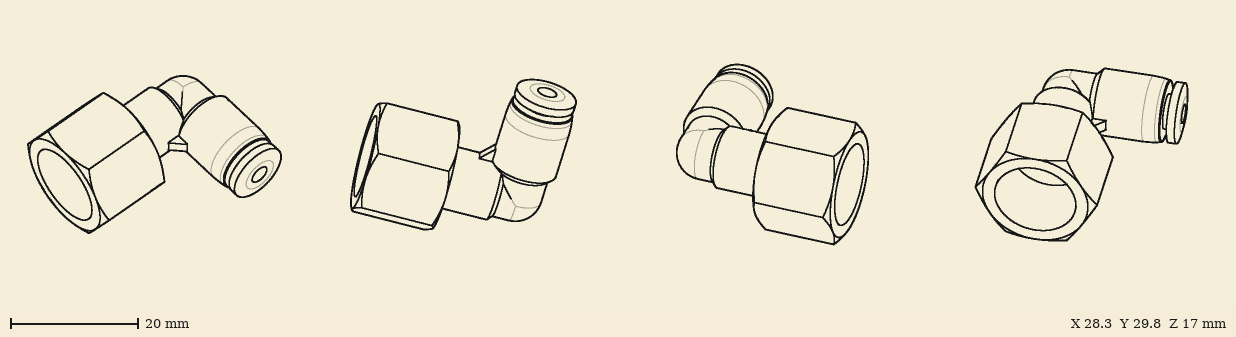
import cadquery as cq
import math


socket_length = 13.0
across_flats = 17.0
flat_radius = across_flats / 2
corner_radius = flat_radius / math.cos(math.radians(30))
corner_chamfer = (corner_radius - flat_radius) * math.tan(math.radians(30))

socket_mouth_radius = 6.55
socket_floor_radius = 6.22
socket_depth = 10.4
passage_radius = 1.52

overall_length = 29.75
collar_radius = 5.27
tube_axis_y = overall_length - collar_radius
elbow_radius = 4.25
stem_radius = 5.0
stem_shoulder_y = 21.0
stem_shoulder_height = stem_radius - elbow_radius

collar_start = 4.02
collar_shoulder_end = collar_start + collar_radius - elbow_radius
collar_taper_start = 12.82
collar_band_start = 14.85
collar_end = 15.68
collar_band_radius = 5.1
collar_edge_radius = 4.97
collar_edge_chamfer = 0.15

sleeve_neck_radius = 2.8
sleeve_flange_start = 16.72
sleeve_rim_end = 18.03
sleeve_end = 18.45
sleeve_flange_radius = 4.85
sleeve_face_radius = 2.83

web_thickness = 1.9
web_reach_x = 7.1
web_reach_y = 17.23


def revolve_about_y(profile):
    return profile.close().revolve(360, (0, 0, 0), (0, 1, 0))


def revolve_about_tube_axis(profile):
    turned = profile.close().revolve(360, (0, 0, 0), (1, 0, 0))
    return turned.translate((0, tube_axis_y, 0))


def make_socket():
    hexagon = (
        cq.Workplane("XZ")
        .polygon(6, 2 * corner_radius)
        .extrude(-socket_length)
    )
    chamfer_envelope = revolve_about_y(
        cq.Workplane("XY")
        .moveTo(0, 0)
        .lineTo(flat_radius, 0)
        .lineTo(corner_radius, corner_chamfer)
        .lineTo(corner_radius, socket_length - corner_chamfer)
        .lineTo(flat_radius, socket_length)
        .lineTo(0, socket_length)
    )
    return hexagon.intersect(chamfer_envelope)


def make_stem():
    return revolve_about_y(
        cq.Workplane("XY")
        .moveTo(0, socket_length)
        .lineTo(stem_radius, socket_length)
        .lineTo(stem_radius, stem_shoulder_y)
        .lineTo(elbow_radius, stem_shoulder_y + stem_shoulder_height)
        .lineTo(elbow_radius, tube_axis_y)
        .lineTo(0, tube_axis_y)
    )


def make_tube_end():
    return revolve_about_tube_axis(
        cq.Workplane("XY")
        .moveTo(0, 0)
        .lineTo(0, elbow_radius)
        .lineTo(collar_start, elbow_radius)
        .lineTo(collar_shoulder_end, collar_radius)
        .lineTo(collar_taper_start, collar_radius)
        .tangentArcPoint((collar_band_start, collar_band_radius), relative=False)
        .lineTo(collar_end - collar_edge_chamfer, collar_edge_radius)
        .lineTo(collar_end, collar_edge_radius - collar_edge_chamfer)
        .lineTo(collar_end, sleeve_neck_radius)
        .lineTo(sleeve_flange_start, sleeve_neck_radius)
        .lineTo(sleeve_flange_start, sleeve_flange_radius)
        .lineTo(sleeve_rim_end, sleeve_flange_radius)
        .lineTo(sleeve_end, sleeve_face_radius)
        .lineTo(sleeve_end, 0)
    )


def make_web():
    return (
        cq.Workplane("XY")
        .moveTo(0, web_reach_y)
        .lineTo(stem_radius, web_reach_y)
        .lineTo(web_reach_x, tube_axis_y - collar_radius)
        .lineTo(web_reach_x, tube_axis_y)
        .lineTo(0, tube_axis_y)
        .close()
        .extrude(web_thickness / 2, both=True)
    )


def make_corner_wedge(radius):
    """Quarter ball closing the outside of the corner between the two legs."""
    half_disc = (
        cq.Workplane("XZ")
        .moveTo(0, -radius)
        .threePointArc((-radius, 0), (0, radius))
        .close()
    )
    wedge = half_disc.revolve(90, (0, 0.3, 0), (0, -0.3, 0))
    return wedge.translate((0, tube_axis_y, 0))


def make_socket_bore():
    return revolve_about_y(
        cq.Workplane("XY")
        .moveTo(0, 0)
        .lineTo(socket_mouth_radius, 0)
        .lineTo(socket_floor_radius, socket_depth)
        .lineTo(0, socket_depth)
    )


def make_passage():
    socket_leg = cq.Workplane("XZ").circle(passage_radius).extrude(-tube_axis_y)
    tube_leg = (
        cq.Workplane("YZ")
        .center(tube_axis_y, 0)
        .circle(passage_radius)
        .extrude(sleeve_end)
    )
    return socket_leg.union(tube_leg).union(make_corner_wedge(passage_radius))


body = (
    make_socket()
    .union(make_stem())
    .union(make_tube_end())
    .union(make_corner_wedge(elbow_radius))
    .union(make_web())
)
result = body.cut(make_socket_bore()).cut(make_passage())